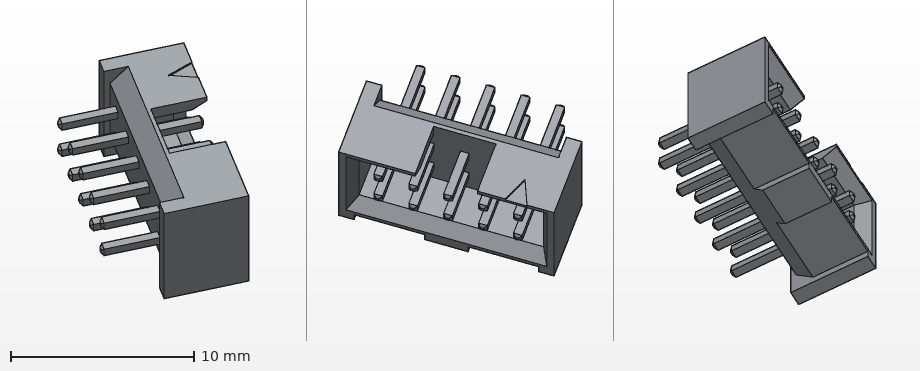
import cadquery as cq


LENGTH = 12.38
HEIGHT = 6.54
WING_DEPTH = 4.82
WING_WIDTH = 0.89
STANDOFF = 0.51
BODY_DEPTH = 4.47
BEVEL_DEPTH = 1.04
BEVEL_HEIGHT = 1.0
KEY_WIDTH = 2.5

WALL = 0.74
CAVITY_DEPTH = 3.2
MOUTH_DEPTH = 0.87
MOUTH_BEVEL = 0.47

NOTCH_WIDTH = 3.58
MARK_WIDTH = 1.25
MARK_LENGTH = 1.54
MARK_DEPTH = 0.1

PITCH = 2.0
COLUMNS = 5
ROWS = 2
PIN_SIZE = 0.5
PIN_RECESS = 0.15
PIN_REACH = 7.8
TIP_CHAMFER = 0.15

top = HEIGHT / 2
bottom = -top
body_bottom = bottom + STANDOFF
body_height = top - body_bottom
body_middle = (top + body_bottom) / 2
body_length = LENGTH - 2 * WING_WIDTH
bevel_start = -(BODY_DEPTH - BEVEL_DEPTH)


def side_profile(points, width):
    """Extrude a closed Y-Z outline symmetrically about X = 0."""
    return cq.Workplane("YZ").polyline(points).close().extrude(width / 2, both=True)


def body():
    """Central block with its upper and lower rear edges bevelled."""
    return side_profile(
        [
            (0, top),
            (bevel_start, top),
            (-BODY_DEPTH, top - BEVEL_HEIGHT),
            (-BODY_DEPTH, body_bottom + BEVEL_HEIGHT),
            (bevel_start, body_bottom),
            (0, body_bottom),
        ],
        body_length,
    )


def wing(side):
    """Plain end plate; side is -1 or 1 along X."""
    offset = side * (LENGTH - WING_WIDTH) / 2
    return cq.Workplane("XY").box(WING_WIDTH, WING_DEPTH, HEIGHT).translate((offset, -WING_DEPTH / 2, 0))


def polarising_key():
    """Bar under the body whose rear end continues the slope of the lower bevel."""
    key_rear = bevel_start + STANDOFF * BEVEL_DEPTH / BEVEL_HEIGHT
    return side_profile(
        [(0, body_bottom), (bevel_start, body_bottom), (key_rear, bottom), (0, bottom)],
        KEY_WIDTH,
    )


def cavity():
    """Rectangular pocket from the mating face, flared at its mouth."""
    width = body_length
    height = body_height - 2 * WALL
    face = cq.Workplane("XZ", origin=(0, 0, body_middle))
    pocket = face.rect(width, height).extrude(CAVITY_DEPTH)
    flare = (
        face.rect(width + 2 * MOUTH_BEVEL, height + 2 * MOUTH_BEVEL)
        .workplane(offset=MOUTH_DEPTH)
        .rect(width, height)
        .loft(ruled=True)
    )
    return pocket.union(flare)


def notch():
    """Opening through the top wall, as deep as the cavity."""
    return cq.Workplane("XY", origin=(0, -CAVITY_DEPTH / 2, (top + body_middle) / 2)).box(
        NOTCH_WIDTH, CAVITY_DEPTH, top - body_middle
    )


def first_pin_mark():
    """Shallow triangle in the top wall pointing at the first pin column."""
    centre = -PITCH * (COLUMNS - 1) / 2
    return (
        cq.Workplane("XY", origin=(centre, 0, top))
        .polyline([(-MARK_WIDTH / 2, 0), (MARK_WIDTH / 2, 0), (0, -MARK_LENGTH)])
        .close()
        .extrude(-MARK_DEPTH)
    )


def pins():
    """Square pins with both ends chamfered."""
    return (
        cq.Workplane("XZ", origin=(0, -PIN_RECESS, body_middle))
        .rarray(PITCH, PITCH, COLUMNS, ROWS)
        .rect(PIN_SIZE, PIN_SIZE)
        .extrude(PIN_REACH - PIN_RECESS)
        .faces("<Y or >Y")
        .chamfer(TIP_CHAMFER)
    )


housing = body().union(wing(-1)).union(wing(1)).union(polarising_key())
housing = housing.cut(cavity()).cut(notch()).cut(first_pin_mark())
result = housing.union(pins())